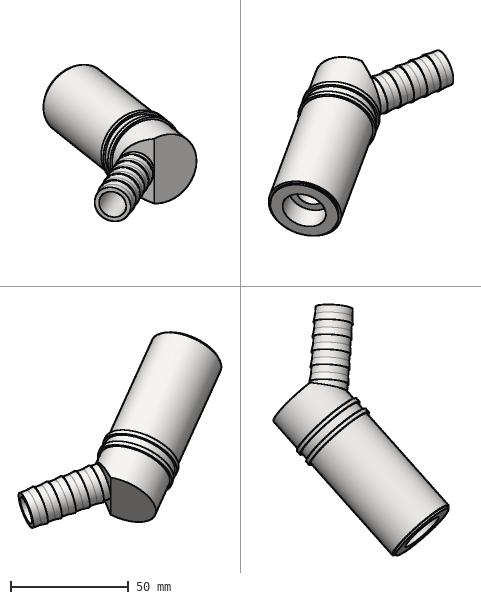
import cadquery as cq
import math

overall_length = 103.3

housing_length = 78.0
housing_dia = 32.0
nose_length = 1.0
nose_dia = 30.0

socket_dia = 19.0
socket_depth = 10.0
passage_dia = 12.0

barb_angle = 45.0
barb_dia = 16.0
rib_dia = 16.9
rib_count = 5

ring_dia = 34.0
ring_width = 2.0
ring_pitch = 6.0
first_ring_start = 53.7
ring_count = 2

housing_radius = housing_dia / 2
axis_cos = math.cos(math.radians(barb_angle))
axis_sin = math.sin(math.radians(barb_angle))
barb_direction = cq.Vector(axis_cos, -axis_sin, 0)

barb_length = (overall_length - housing_length) / axis_cos

slant_run = barb_dia * axis_sin
slant_rise = barb_dia * axis_cos
slant_start_x = housing_length - slant_run
slant_end_y = slant_rise - housing_radius
barb_base = cq.Vector(housing_length - slant_run / 2, slant_rise / 2 - housing_radius, 0)
barb_tip = barb_base + barb_direction * barb_length

elbow_x = barb_base.x + barb_base.y * axis_cos / axis_sin


def cylinder_along_x(start_x, length, diameter):
    return cq.Workplane("YZ", origin=(start_x, 0, 0)).circle(diameter / 2).extrude(length)


def make_outer_cylinder():
    nose = cylinder_along_x(0, nose_length, nose_dia)
    barrel = cylinder_along_x(nose_length, housing_length - nose_length, housing_dia)
    corner = (
        cq.Workplane("XY")
        .moveTo(slant_start_x, -housing_radius)
        .lineTo(housing_length, slant_end_y)
        .lineTo(housing_length, -housing_radius)
        .close()
        .extrude(housing_radius, both=True)
    )
    return nose.union(barrel).cut(corner)


def make_barb():
    """Tube whose ribs rise in a sharp step and taper back down toward the tip."""
    tube_radius = barb_dia / 2
    rib_radius = rib_dia / 2
    segment = barb_length / (2 * rib_count + 1)

    axis_plane = cq.Plane(barb_base, xDir=barb_direction, normal=(0, 0, 1))
    profile = cq.Workplane(axis_plane).lineTo(0, tube_radius)
    for rib in range(rib_count):
        step_position = (2 * rib + 1) * segment
        profile = (
            profile.lineTo(step_position, tube_radius)
            .lineTo(step_position, rib_radius)
            .lineTo(step_position + segment, tube_radius)
        )
    profile = profile.lineTo(barb_length, tube_radius).lineTo(barb_length, 0).close()
    return profile.revolve(360, (0, 0, 0), (1, 0, 0))


def make_passage():
    """Round passage with a mitred turn at the elbow."""
    path = cq.Workplane("XY").polyline([(0, 0), (elbow_x, 0), (barb_tip.x, barb_tip.y)])
    return cq.Workplane("YZ").circle(passage_dia / 2).sweep(path, transition="right")


def make_housing():
    socket = cylinder_along_x(0, socket_depth, socket_dia)
    return make_outer_cylinder().union(make_barb()).cut(make_passage()).cut(socket)


def make_sealing_ring(start_x):
    return cylinder_along_x(start_x, ring_width, ring_dia).cut(
        cylinder_along_x(start_x, ring_width, housing_dia)
    )


housing = make_housing()
sealing_rings = [make_sealing_ring(first_ring_start + i * ring_pitch) for i in range(ring_count)]

result = cq.Compound.makeCompound([housing.val(), *[ring.val() for ring in sealing_rings]])